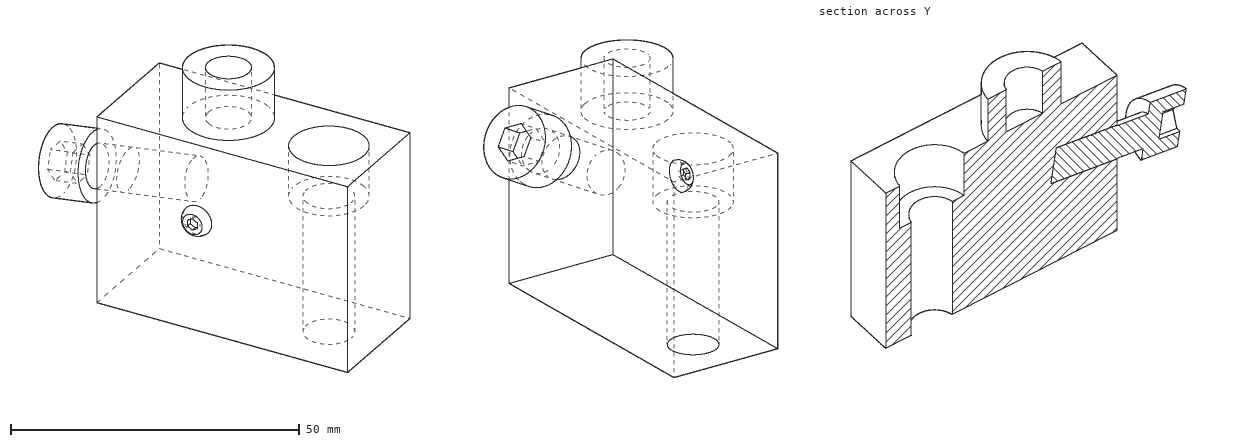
import cadquery as cq
import math

block_length = 50.0
block_width = 22.0
block_height = 37.0
front_y = -block_width / 2

boss_x = 20.0
boss_diameter = 16.0
boss_height = 10.0
bore_diameter = 8.0
bore_depth = boss_height

mount_x = 2 * boss_x
mount_diameter = 9.0
counterbore_diameter = 14.0
counterbore_depth = 10.0

button_z = 22.0
button_diameter = 5.8
button_flat_diameter = 3.9
button_height = 1.7
button_socket_flats = 1.95
button_socket_depth = 1.0

screw_tilt = 8.5
screw_overhang = 65 - block_length
screw_entry_z = 21.05
head_diameter = 13.0
head_length = 8.0
shank_diameter = 8.0
shank_length = 20.0
head_socket_flats = 6.0
head_socket_depth = 4.55


def flats_to_corners(across_flats):
    """Width across the corners of a regular hexagon."""
    return across_flats / math.cos(math.pi / 6)


def screw_plane():
    """Plane of the outer head face, with its normal along the screw into the block."""
    tilt = math.radians(screw_tilt)
    face_x = head_diameter / 2 * math.sin(tilt) - screw_overhang
    face_z = screw_entry_z + face_x * math.tan(tilt)
    return cq.Plane(
        origin=(face_x, 0, face_z),
        xDir=(0, 1, 0),
        normal=(math.cos(tilt), 0, math.sin(tilt)),
    )


def make_shank():
    return (
        cq.Workplane(screw_plane())
        .workplane(offset=head_length)
        .circle(shank_diameter / 2)
        .extrude(shank_length)
    )


def make_cap_screw():
    head = cq.Workplane(screw_plane()).circle(head_diameter / 2).extrude(head_length)
    socket = (
        cq.Workplane(screw_plane())
        .polygon(6, flats_to_corners(head_socket_flats))
        .extrude(head_socket_depth)
    )
    return head.union(make_shank()).cut(socket)


def make_button():
    """Dome revolved about its axis, then moved to the front face of the block."""
    base_radius = button_diameter / 2
    flat_radius = button_flat_diameter / 2
    chord = math.hypot(base_radius - flat_radius, button_height)
    bulge = chord / 2 * math.tan(math.atan2(base_radius - flat_radius, button_height) / 2)
    mid_radius = (base_radius + flat_radius) / 2 + bulge * button_height / chord
    mid_height = button_height / 2 + bulge * (base_radius - flat_radius) / chord
    dome = (
        cq.Workplane("XY")
        .lineTo(base_radius, 0)
        .threePointArc((mid_radius, -mid_height), (flat_radius, -button_height))
        .lineTo(0, -button_height)
        .close()
        .revolve(360, (0, 0, 0), (0, 1, 0))
    )
    socket = (
        cq.Workplane("XZ", origin=(0, -button_height, 0))
        .transformed(rotate=(0, 0, 90))
        .polygon(6, flats_to_corners(button_socket_flats))
        .extrude(-button_socket_depth)
    )
    return dome.cut(socket).translate((boss_x, front_y, button_z))


def make_housing():
    block = cq.Workplane("XY").box(
        block_length, block_width, block_height, centered=(False, True, False)
    )
    boss = (
        cq.Workplane("XY", origin=(boss_x, 0, block_height))
        .circle(boss_diameter / 2)
        .extrude(boss_height)
    )
    bore = (
        cq.Workplane("XY", origin=(boss_x, 0, block_height + boss_height))
        .circle(bore_diameter / 2)
        .extrude(-bore_depth)
    )
    mount_hole = (
        cq.Workplane("XY", origin=(mount_x, 0, block_height))
        .circle(mount_diameter / 2)
        .extrude(-block_height)
    )
    counterbore = (
        cq.Workplane("XY", origin=(mount_x, 0, block_height))
        .circle(counterbore_diameter / 2)
        .extrude(-counterbore_depth)
    )
    housing = block.union(boss).union(make_button())
    return housing.cut(bore).cut(mount_hole).cut(counterbore).cut(make_shank())


housing = make_housing()
cap_screw = make_cap_screw()

result = cq.Compound.makeCompound([housing.val(), cap_screw.val()])